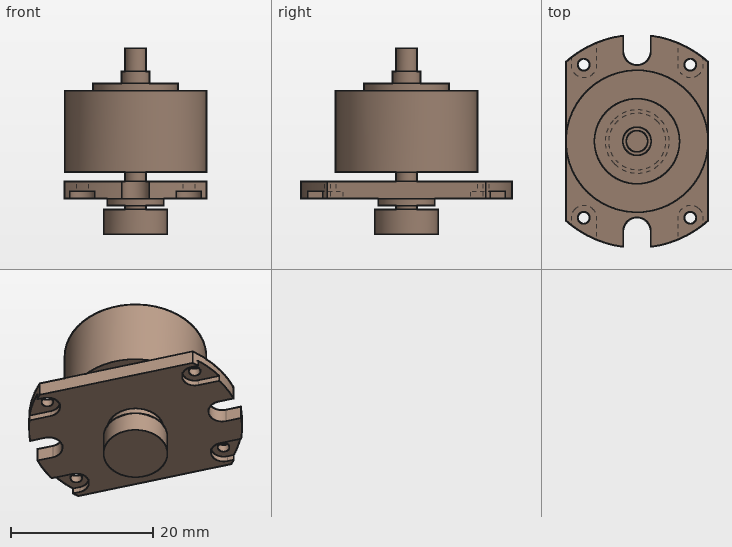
import cadquery as cq
import math

PLATE_WIDTH = 20.0
PLATE_LENGTH = 29.75
PLATE_THICKNESS = 2.4
NOTCH_WIDTH = 3.85
NOTCH_FLOOR_Y = 10.75
HOLE_DIAMETER = 1.65
HOLE_X = 7.5
HOLE_Y = 10.77
RECESS_WIDTH = 3.57
RECESS_DEPTH = 1.0
PLATE_RADIUS = math.hypot(PLATE_LENGTH / 2, NOTCH_WIDTH / 2)

SHAFT_DIAMETER = 3.0
PINION_DIAMETER = 9.0
PINION_HEIGHT = 3.5
PINION_GAP = 0.5
BOSS_DIAMETER = 8.0
BOSS_HEIGHT = 1.0
BODY_DIAMETER = PLATE_WIDTH
BODY_GAP = 1.3
BODY_HEIGHT = 11.5
DISC_DIAMETER = 12.0
DISC_HEIGHT = 1.0
COLLAR_DIAMETER = 4.0
COLLAR_HEIGHT = 1.7
TOTAL_HEIGHT = 26.2

BOSS_Z = PINION_HEIGHT + PINION_GAP
PLATE_Z = BOSS_Z + BOSS_HEIGHT
BODY_Z = PLATE_Z + PLATE_THICKNESS + BODY_GAP
DISC_Z = BODY_Z + BODY_HEIGHT
COLLAR_Z = DISC_Z + DISC_HEIGHT


def cylinder(diameter, height, z, x=0, y=0):
    return cq.Workplane("XY", origin=(x, y, z)).circle(diameter / 2).extrude(height)


def open_slot(width, height, x, y, side):
    """Slot with a round end centred on (x, y), running out past the plate along side * Y."""
    run = PLATE_LENGTH / 2
    straight = (
        cq.Workplane("XY", origin=(x, y + side * run / 2, PLATE_Z))
        .rect(width, run)
        .extrude(height)
    )
    return cylinder(width, height, PLATE_Z, x, y).union(straight)


def mounting_plate():
    """Disc trimmed to two flat sides, with end notches and recessed screw holes."""
    flats = (
        cq.Workplane("XY", origin=(0, 0, PLATE_Z))
        .rect(PLATE_WIDTH, 2 * PLATE_RADIUS)
        .extrude(PLATE_THICKNESS)
    )
    plate = cylinder(2 * PLATE_RADIUS, PLATE_THICKNESS, PLATE_Z).intersect(flats)
    notch_y = NOTCH_FLOOR_Y + NOTCH_WIDTH / 2
    for side in (-1, 1):
        plate = plate.cut(open_slot(NOTCH_WIDTH, PLATE_THICKNESS, 0, side * notch_y, side))
        for x in (-HOLE_X, HOLE_X):
            y = side * HOLE_Y
            plate = plate.cut(cylinder(HOLE_DIAMETER, PLATE_THICKNESS, PLATE_Z, x, y))
            plate = plate.cut(open_slot(RECESS_WIDTH, RECESS_DEPTH, x, y, side))
    return plate


result = (
    mounting_plate()
    .union(cylinder(SHAFT_DIAMETER, TOTAL_HEIGHT, 0))
    .union(cylinder(PINION_DIAMETER, PINION_HEIGHT, 0))
    .union(cylinder(BOSS_DIAMETER, BOSS_HEIGHT, BOSS_Z))
    .union(cylinder(BODY_DIAMETER, BODY_HEIGHT, BODY_Z))
    .union(cylinder(DISC_DIAMETER, DISC_HEIGHT, DISC_Z))
    .union(cylinder(COLLAR_DIAMETER, COLLAR_HEIGHT, COLLAR_Z))
)